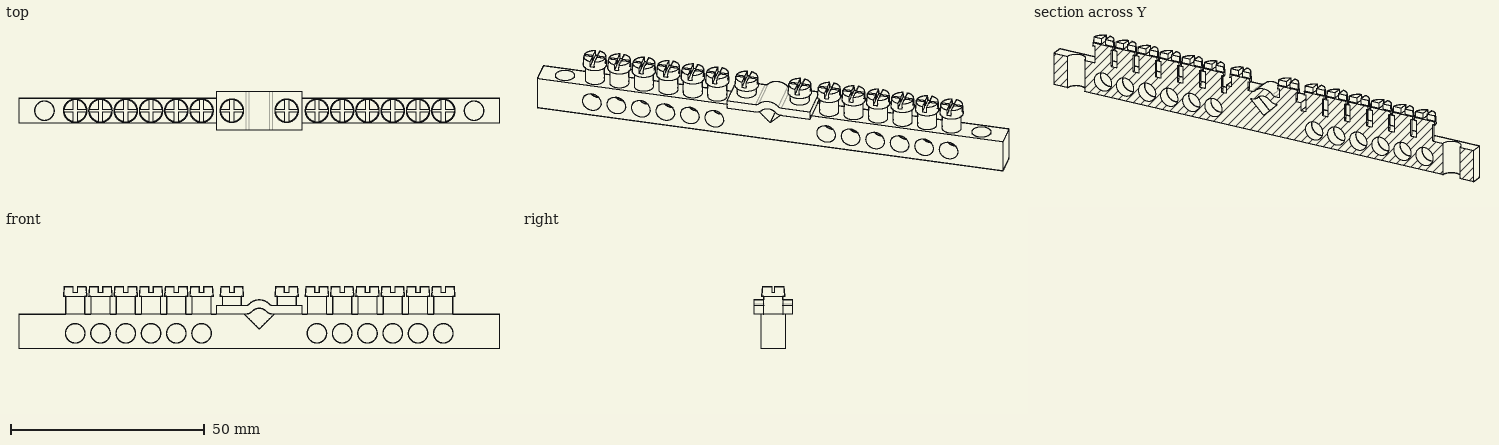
import cadquery as cq
import math

bar_length = 124.0
bar_width = 6.5
bar_height = 8.9
groove_depth = 3.8
hole_diameter = 5.0
mount_hole_x = 55.4

terminals_per_side = 6
first_terminal_x = 14.9
last_terminal_x = 47.5
terminal_pitch = (last_terminal_x - first_terminal_x) / (terminals_per_side - 1)
wire_hole_z = 4.0

clamp_length = 22.1
clamp_width = 10.0
clamp_thickness = 2.2
clamp_screw_x = 7.1
arch_rise = 1.5
outer_crest_radius = 3.6
outer_foot_radius = 1.1
inner_crest_radius = 2.5
arch_radius_sum = outer_crest_radius + outer_foot_radius
inner_foot_radius = arch_radius_sum - inner_crest_radius

total_height = 16.0
shank_diameter = 5.0
head_top_diameter = 5.7
head_bottom_diameter = 6.1
head_height = 2.5
slot_depth = 1.5
wide_slot = 1.1
narrow_slot = 0.6

terminal_xs = [
    side * (first_terminal_x + i * terminal_pitch)
    for side in (-1, 1)
    for i in range(terminals_per_side)
]
clamp_screw_xs = [-clamp_screw_x, clamp_screw_x]


def make_bar():
    bar = cq.Workplane("XY").box(bar_length, bar_width, bar_height, centered=(True, True, False))
    mount_holes = (
        cq.Workplane("XY")
        .pushPoints([(-mount_hole_x, 0), (mount_hole_x, 0)])
        .circle(hole_diameter / 2)
        .extrude(bar_height)
    )
    wire_holes = (
        cq.Workplane("XZ")
        .pushPoints([(x, wire_hole_z) for x in terminal_xs])
        .circle(hole_diameter / 2)
        .extrude(bar_width / 2, both=True)
    )
    groove = (
        cq.Workplane("XZ")
        .moveTo(-groove_depth, bar_height)
        .lineTo(0, bar_height - groove_depth)
        .lineTo(groove_depth, bar_height)
        .close()
        .extrude(bar_width / 2, both=True)
    )
    return bar.cut(mount_holes).cut(wire_holes).cut(groove)


def add_arch(outline, base_z, crest_radius, foot_radius, direction):
    """Append foot, crest and foot arcs, travelling along +X (direction 1) or -X (direction -1)."""
    radius_sum = crest_radius + foot_radius
    foot_angle = math.acos(1 - arch_rise / radius_sum)
    foot_x = radius_sum * math.sin(foot_angle)

    def foot_point(side, angle):
        x = foot_x - foot_radius * math.sin(angle)
        z = base_z + foot_radius * (1 - math.cos(angle))
        return (side * x, z)

    start = -direction
    end = direction
    return (
        outline.lineTo(*foot_point(start, 0))
        .threePointArc(foot_point(start, foot_angle / 2), foot_point(start, foot_angle))
        .threePointArc((0, base_z + arch_rise), foot_point(end, foot_angle))
        .threePointArc(foot_point(end, foot_angle / 2), foot_point(end, 0))
    )


def make_clamp():
    half_length = clamp_length / 2
    bottom = bar_height
    top = bar_height + clamp_thickness
    outline = cq.Workplane("XZ").moveTo(-half_length, bottom)
    outline = add_arch(outline, bottom, inner_crest_radius, inner_foot_radius, 1)
    outline = outline.lineTo(half_length, bottom).lineTo(half_length, top)
    outline = add_arch(outline, top, outer_crest_radius, outer_foot_radius, -1)
    return outline.lineTo(-half_length, top).close().extrude(clamp_width / 2, both=True)


def make_screw(x):
    head_bottom = total_height - head_height

    shank = (
        cq.Workplane("XY", origin=(x, 0, bar_height))
        .circle(shank_diameter / 2)
        .extrude(head_bottom - bar_height)
    )
    head = (
        cq.Workplane("XY", origin=(x, 0, head_bottom))
        .circle(head_bottom_diameter / 2)
        .workplane(offset=head_height)
        .circle(head_top_diameter / 2)
        .loft()
    )
    slot_plane = cq.Workplane("XY", origin=(x, 0, total_height - slot_depth))
    slots = (
        slot_plane.rect(wide_slot, head_bottom_diameter)
        .extrude(slot_depth)
        .union(slot_plane.rect(head_bottom_diameter, narrow_slot).extrude(slot_depth))
    )
    return shank.union(head).cut(slots)


result = make_bar().union(make_clamp())
for screw_x in terminal_xs + clamp_screw_xs:
    result = result.union(make_screw(screw_x))